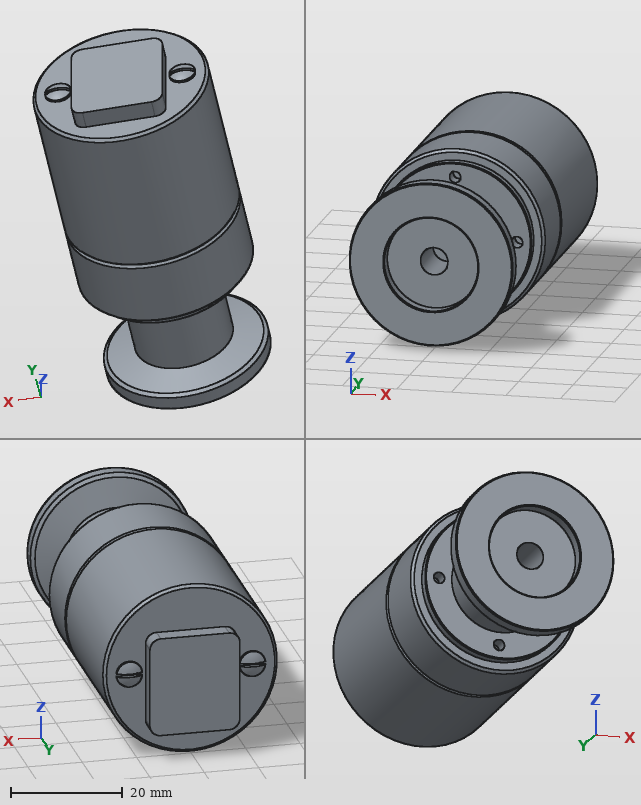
import cadquery as cq
import math

total_length = 66.1
flange_rim_end = 2.65
flange_cone_end = 4.55
shoulder_face = 19.0
front_body_face = 20.8
housing_joint = 33.7
housing_back = 62.8

housing_diameter = 32.0
shoulder_diameter = 28.0
flange_diameter = 30.0
neck_diameter = 18.0

housing_edge = 0.5
joint_edge = 0.45
shoulder_edge = 0.2
flange_edge = 0.2
flange_bevel_width = 0.7
flange_cone_angle = 15.0

bore_diameter = 17.2
bore_depth = 2.6
bore_edge = 0.2
inlet_diameter = 5.0
inlet_depth = 9.9

spanner_hole_count = 4
spanner_hole_diameter = 2.05
spanner_hole_radius = 11.4
spanner_hole_depth = 3.0

connector_width = 16.5
connector_height = 18.5
connector_offset_z = -1.8
connector_corner = 2.0

screw_spacing = 22.6
screw_head_diameter = 4.75
screw_head_height = 1.05
screw_rim_height = 0.4
screw_slot_width = 0.6
screw_shank_diameter = 3.0
screw_shank_length = 3.95


def facing_back(y):
    """Workplane at position y along the axis, normal toward +Y, local x along +X and local y along -Z."""
    return cq.Workplane(cq.Plane(origin=(0, y, 0), xDir=(1, 0, 0), normal=(0, 1, 0)))


def disc(y_start, y_end, diameter):
    """Cylinder about the Y axis."""
    return facing_back(y_start).circle(diameter / 2).extrude(y_end - y_start)


def make_rear_housing(screw_positions):
    housing = disc(housing_joint, housing_back, housing_diameter)
    housing = housing.faces("<Y or >Y").edges().chamfer(housing_edge)
    for x in screw_positions:
        shank_hole = disc(housing_back - screw_shank_length, housing_back, screw_shank_diameter)
        housing = housing.cut(shank_hole.translate((x, 0, 0)))
    return housing


def make_flange():
    """Rim with a bevelled, conical back that tapers down to the neck."""
    rim_radius = flange_diameter / 2
    neck_radius = neck_diameter / 2
    bevel_radius = rim_radius - flange_bevel_width
    cone_height = (bevel_radius - neck_radius) * math.tan(math.radians(flange_cone_angle))
    flange = (
        cq.Workplane("XY")
        .moveTo(0, 0)
        .lineTo(rim_radius, 0)
        .lineTo(rim_radius, flange_rim_end)
        .lineTo(bevel_radius, flange_cone_end - cone_height)
        .lineTo(neck_radius, flange_cone_end)
        .lineTo(0, flange_cone_end)
        .close()
        .revolve(360, (0, 0, 0), (0, 1, 0))
    )
    return flange.faces("<Y").edges().chamfer(flange_edge)


def make_port_body():
    barrel = disc(front_body_face, housing_joint, housing_diameter)
    barrel = barrel.faces("<Y").edges().chamfer(housing_edge)
    barrel = barrel.faces(">Y").edges().chamfer(joint_edge)
    shoulder = disc(shoulder_face, front_body_face, shoulder_diameter)
    shoulder = shoulder.faces("<Y").edges().chamfer(shoulder_edge)
    neck = disc(flange_cone_end, shoulder_face, neck_diameter)
    body = barrel.union(shoulder).union(neck).union(make_flange())

    bore = disc(0, bore_depth, bore_diameter)
    inlet = disc(bore_depth, bore_depth + inlet_depth, inlet_diameter)
    body = body.cut(bore).cut(inlet)
    bore_rim = cq.selectors.RadiusNthSelector(0)
    body = body.faces("<Y").edges(bore_rim).chamfer(bore_edge)

    spanner_holes = (
        facing_back(shoulder_face)
        .polarArray(spanner_hole_radius, 0, 360, spanner_hole_count)
        .circle(spanner_hole_diameter / 2)
        .extrude(spanner_hole_depth)
    )
    return body.cut(spanner_holes)


def make_connector():
    return (
        facing_back(housing_back)
        .center(0, -connector_offset_z)
        .rect(connector_width, connector_height)
        .extrude(total_length - housing_back)
        .edges("|Y")
        .fillet(connector_corner)
    )


def make_screw(x):
    """Domed, slotted head on a shank; the slot is as deep as the head."""
    head_radius = screw_head_diameter / 2
    rise = screw_head_height - screw_rim_height
    dome_radius = (head_radius**2 + rise**2) / (2 * rise)
    head = disc(0, screw_head_height, screw_head_diameter)
    dome = cq.Workplane("XY").sphere(dome_radius).translate((0, screw_head_height - dome_radius, 0))
    head = head.intersect(dome)
    slot = cq.Workplane("XY").box(
        screw_head_diameter, screw_head_height, screw_slot_width, centered=(True, False, True)
    )
    shank = disc(-screw_shank_length, 0, screw_shank_diameter)
    return head.cut(slot).union(shank).translate((x, housing_back, 0))


screw_positions = [-screw_spacing / 2, screw_spacing / 2]

rear_housing = make_rear_housing(screw_positions)
port_body = make_port_body()
connector = make_connector()
screws = [make_screw(x) for x in screw_positions]

result = cq.Compound.makeCompound(
    [rear_housing.val(), port_body.val(), connector.val(), *[screw.val() for screw in screws]]
)